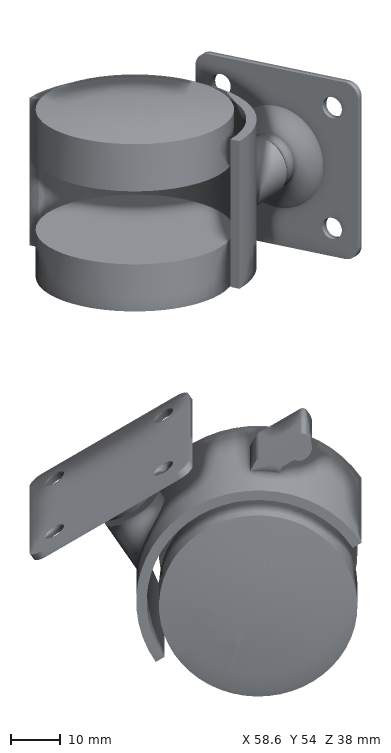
import cadquery as cq
import math


WHEEL_RADIUS = 20.0
WHEEL_INNER_Z = 7.85
WHEEL_RIM_Z = 18.0
WHEEL_CROWN_Z = 19.0

HOOD_OUTER_RADIUS = 24.55
HOOD_WALL = 2.1
HOOD_HEIGHT = 31.8
HOOD_SKIRT = 0.2
HOOD_INNER_RADIUS = HOOD_OUTER_RADIUS - HOOD_WALL

SWIVEL_X = 14.0
SOCKET_RADIUS = 6.45
SOCKET_TOP_Y = 25.5

LEVER_WIDTH = 12.55
LEVER_TOP_Y = 23.05
LEVER_TIP_X = -25.6
LEVER_TIP_FILLET = 1.0
LEVER_BULB_RADIUS = 3.1
LEVER_BULB_Y = 21.05
LEVER_NECK_Y = 18.95
LEVER_NECK_START_X = -20.4
LEVER_NECK_BOW = 0.07
LEVER_NECK_END_X = -17.7
LEVER_BULB_EXIT_ANGLE = 295
LEVER_TOP_END_X = -14.25
LEVER_TOP_FILLET = 2.0
LEVER_ROOT_TOP = (-11.8, 21.6)
LEVER_ROOT_BOTTOM = (-16.65, 17.95)

PLATE_SIDE = 2 * WHEEL_CROWN_Z
PLATE_TOP_Y = 34.0
PLATE_THICKNESS = 1.5
PLATE_CORNER_RADIUS = 3.0
HOLE_DIAMETER = 4.5
HOLE_SPACING = 26.0
PLATE_BOTTOM_Y = PLATE_TOP_Y - PLATE_THICKNESS

CONE_BASE_RADIUS = 10.9
CONE_HEIGHT = 2.8
COLLAR_RADIUS = 5.85
COLLAR_HEIGHT = 3.1
NECK_RADIUS = 3.35
COLLAR_TOP_Y = PLATE_BOTTOM_Y - CONE_HEIGHT
COLLAR_BOTTOM_Y = COLLAR_TOP_Y - COLLAR_HEIGHT


def make_wheel(side):
    """Disc with a flat inner face and a domed outer face; side is +1 (up) or -1 (down)."""
    crown_rise = WHEEL_CROWN_Z - WHEEL_RIM_Z
    dome_radius = (WHEEL_RADIUS**2 + crown_rise**2) / (2 * crown_rise)
    mid_radius = WHEEL_RADIUS / 2
    mid_z = WHEEL_CROWN_Z - dome_radius + math.sqrt(dome_radius**2 - mid_radius**2)
    return (
        cq.Workplane("XZ")
        .moveTo(0, side * WHEEL_INNER_Z)
        .lineTo(WHEEL_RADIUS, side * WHEEL_INNER_Z)
        .lineTo(WHEEL_RADIUS, side * WHEEL_RIM_Z)
        .threePointArc((mid_radius, side * mid_z), (0, side * WHEEL_CROWN_Z))
        .close()
        .revolve(360, (0, 0, 0), (0, 1, 0))
    )


def make_hood_shell():
    """Half tube with short straight skirts at both ends."""
    return (
        cq.Workplane("XY")
        .moveTo(-HOOD_OUTER_RADIUS, -HOOD_SKIRT)
        .lineTo(-HOOD_OUTER_RADIUS, 0)
        .threePointArc((0, HOOD_OUTER_RADIUS), (HOOD_OUTER_RADIUS, 0))
        .lineTo(HOOD_OUTER_RADIUS, -HOOD_SKIRT)
        .lineTo(HOOD_INNER_RADIUS, -HOOD_SKIRT)
        .lineTo(HOOD_INNER_RADIUS, 0)
        .threePointArc((0, HOOD_INNER_RADIUS), (-HOOD_INNER_RADIUS, 0))
        .lineTo(-HOOD_INNER_RADIUS, -HOOD_SKIRT)
        .close()
        .extrude(HOOD_HEIGHT / 2, both=True)
    )


def make_hood_core():
    """Full cylinder up to the middle of the hood wall, used to trim what joins the hood."""
    core_radius = HOOD_OUTER_RADIUS - HOOD_WALL / 2
    return cq.Workplane("XY").circle(core_radius).extrude(HOOD_HEIGHT / 2, both=True)


def make_socket():
    """Post from the swivel neck down into the hood wall."""
    return (
        cq.Workplane("XZ", origin=(SWIVEL_X, SOCKET_TOP_Y, 0))
        .circle(SOCKET_RADIUS)
        .extrude(SOCKET_TOP_Y)
        .cut(make_hood_core())
    )


def make_lever():
    """Brake lever with a rounded bulb at its tip and a root inside the hood wall."""
    bulb_x = LEVER_TIP_X + LEVER_BULB_RADIUS
    exit_angle = math.radians(LEVER_BULB_EXIT_ANGLE)
    bulb_exit = (
        bulb_x + LEVER_BULB_RADIUS * math.cos(exit_angle),
        LEVER_BULB_Y + LEVER_BULB_RADIUS * math.sin(exit_angle),
    )
    bulb_mid = (
        bulb_x - LEVER_BULB_RADIUS * math.cos(math.radians(45)),
        LEVER_BULB_Y - LEVER_BULB_RADIUS * math.sin(math.radians(45)),
    )
    neck_mid = (
        (bulb_exit[0] + LEVER_NECK_START_X) / 2 - LEVER_NECK_BOW,
        (bulb_exit[1] + LEVER_NECK_Y) / 2 + LEVER_NECK_BOW,
    )
    top_end = cq.selectors.NearestToPointSelector((LEVER_TOP_END_X, LEVER_TOP_Y, 0))
    return (
        cq.Workplane("XY")
        .moveTo(LEVER_TOP_END_X, LEVER_TOP_Y)
        .lineTo(LEVER_TIP_X + LEVER_TIP_FILLET, LEVER_TOP_Y)
        .tangentArcPoint((LEVER_TIP_X, LEVER_TOP_Y - LEVER_TIP_FILLET), relative=False)
        .lineTo(LEVER_TIP_X, LEVER_BULB_Y)
        .threePointArc(bulb_mid, bulb_exit)
        .threePointArc(neck_mid, (LEVER_NECK_START_X, LEVER_NECK_Y))
        .lineTo(LEVER_NECK_END_X, LEVER_NECK_Y)
        .lineTo(*LEVER_ROOT_BOTTOM)
        .lineTo(0, 0)
        .lineTo(*LEVER_ROOT_TOP)
        .close()
        .extrude(LEVER_WIDTH / 2, both=True)
        .edges(top_end)
        .fillet(LEVER_TOP_FILLET)
        .cut(make_hood_core())
    )


def make_housing():
    """Hood, socket and brake lever in one piece."""
    return make_hood_shell().union(make_socket()).union(make_lever())


def make_mount():
    """Square plate with four screw holes and the turned swivel boss beneath it."""
    plate = (
        cq.Workplane("XZ", origin=(SWIVEL_X, PLATE_TOP_Y, 0))
        .rect(PLATE_SIDE, PLATE_SIDE)
        .extrude(PLATE_THICKNESS)
        .edges("|Y")
        .fillet(PLATE_CORNER_RADIUS)
        .faces(">Y")
        .workplane(origin=(SWIVEL_X, PLATE_TOP_Y, 0))
        .rect(HOLE_SPACING, HOLE_SPACING, forConstruction=True)
        .vertices()
        .hole(HOLE_DIAMETER)
    )
    boss = (
        cq.Workplane("XY", origin=(SWIVEL_X, 0, 0))
        .moveTo(0, PLATE_BOTTOM_Y)
        .lineTo(CONE_BASE_RADIUS, PLATE_BOTTOM_Y)
        .lineTo(COLLAR_RADIUS, COLLAR_TOP_Y)
        .lineTo(COLLAR_RADIUS, COLLAR_BOTTOM_Y)
        .lineTo(NECK_RADIUS, COLLAR_BOTTOM_Y)
        .lineTo(NECK_RADIUS, SOCKET_TOP_Y)
        .lineTo(0, SOCKET_TOP_Y)
        .close()
        .revolve(360, (0, 0, 0), (0, 1, 0))
    )
    return plate.union(boss)


wheels = [make_wheel(side) for side in (1, -1)]
housing = make_housing()
mount = make_mount()

result = cq.Compound.makeCompound([*(wheel.val() for wheel in wheels), housing.val(), mount.val()])